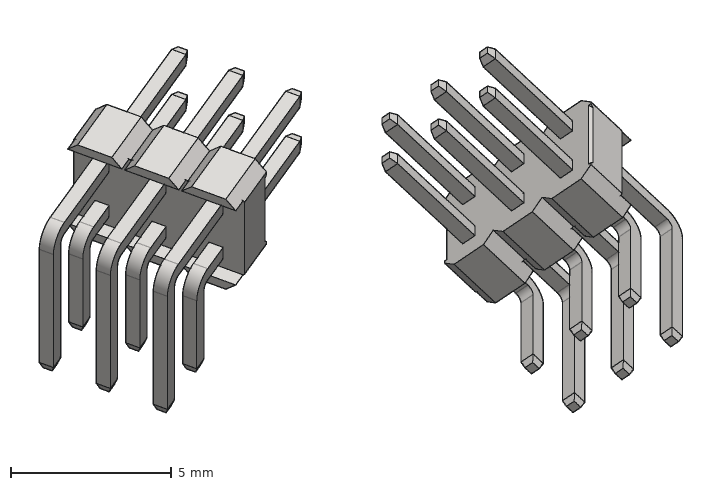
import cadquery as cq

PITCH = 2.0
COLUMNS = 3
ROWS = 2

HOUSING_DEPTH = 2.0
CORE_DEPTH = 1.5
CORNER_CHAMFER = 0.4
LIP_THICKNESS = 0.35
EDGE_CHAMFER = 0.1
EDGE_CHAMFER_MARGIN = 0.5

PIN_WIDTH = 0.5
PIN_BACK_LENGTH = 4.0
PIN_DROP = 2.8
LOWER_PIN_REACH = 3.3
INNER_BEND_RADIUS = 0.25
TIP_LENGTH = 0.275
TIP_INSET = 0.09

HOUSING_WIDTH = COLUMNS * PITCH
HOUSING_HEIGHT = ROWS * PITCH
HALF_PIN = PIN_WIDTH / 2
PIN_BOTTOM_Z = -HOUSING_HEIGHT / 2 - PIN_DROP
OVERLAP = 0.1


def centred_positions(count):
    """Positions of equally pitched items, centred on zero."""
    return [(index - (count - 1) / 2) * PITCH for index in range(count)]


def housing_column(x):
    """One column of the housing, an octagonal prism running along Y."""
    return (
        cq.Workplane("XY")
        .box(PITCH, HOUSING_DEPTH, HOUSING_HEIGHT)
        .edges("|Y")
        .chamfer(CORNER_CHAMFER)
        .translate((x, -HOUSING_DEPTH / 2, 0))
    )


def front_recess():
    """Block removed from the front to leave the top and bottom lips."""
    depth = HOUSING_DEPTH - CORE_DEPTH + OVERLAP
    return (
        cq.Workplane("XY")
        .box(HOUSING_WIDTH + 2 * OVERLAP, depth, HOUSING_HEIGHT - 2 * LIP_THICKNESS)
        .translate((0, -CORE_DEPTH - depth / 2, 0))
    )


def back_edge_bevel(side):
    """Wedge that bevels one upright back edge, with ends that slope at 45 degrees."""
    height = HOUSING_HEIGHT - 2 * EDGE_CHAMFER_MARGIN
    edge_x = side * HOUSING_WIDTH / 2
    wedge = (
        cq.Workplane("XY")
        .moveTo(edge_x - side * EDGE_CHAMFER, 0)
        .lineTo(edge_x, 0)
        .lineTo(edge_x, -EDGE_CHAMFER)
        .close()
        .extrude(height / 2, both=True)
    )
    sloped_ends = (
        cq.Workplane("YZ")
        .moveTo(0, -height / 2)
        .lineTo(0, height / 2)
        .lineTo(-EDGE_CHAMFER, height / 2 - EDGE_CHAMFER)
        .lineTo(-EDGE_CHAMFER, -height / 2 + EDGE_CHAMFER)
        .close()
        .extrude(HOUSING_WIDTH, both=True)
    )
    return wedge.intersect(sloped_ends)


def tapered_tip(workplane):
    """Pointed end of a pin, narrowing along the normal of the workplane."""
    tip_width = PIN_WIDTH - 2 * TIP_INSET
    return (
        workplane.rect(PIN_WIDTH, PIN_WIDTH)
        .workplane(offset=TIP_LENGTH)
        .rect(tip_width, tip_width)
        .loft(ruled=True)
    )


def bent_pin(x, z, front_y):
    """Right-angle pin at height z whose leg stands with its front face at front_y."""
    shank_y = PIN_BACK_LENGTH - TIP_LENGTH
    leg_z = PIN_BOTTOM_Z + TIP_LENGTH
    leg_y = front_y + HALF_PIN
    bend_radius = INNER_BEND_RADIUS + HALF_PIN
    path = (
        cq.Workplane("YZ", origin=(x, 0, 0))
        .moveTo(shank_y, z)
        .lineTo(leg_y + bend_radius, z)
        .radiusArc((leg_y, z - bend_radius), -bend_radius)
        .lineTo(leg_y, leg_z)
    )
    shank = cq.Workplane("XZ", origin=(x, shank_y, z)).rect(PIN_WIDTH, PIN_WIDTH).sweep(path)
    back_tip = tapered_tip(cq.Workplane("ZX", origin=(x, shank_y, z)))
    leg_tip = tapered_tip(cq.Workplane("YX", origin=(x, leg_y, leg_z)))
    return shank.union(back_tip).union(leg_tip)


columns = [housing_column(x) for x in centred_positions(COLUMNS)]
result = columns[0]
for column in columns[1:]:
    result = result.union(column)
result = result.cut(front_recess())
for side in (-1, 1):
    result = result.cut(back_edge_bevel(side))

for row, z in enumerate(centred_positions(ROWS)):
    front_y = -LOWER_PIN_REACH - row * PITCH
    for x in centred_positions(COLUMNS):
        result = result.union(bent_pin(x, z, front_y))